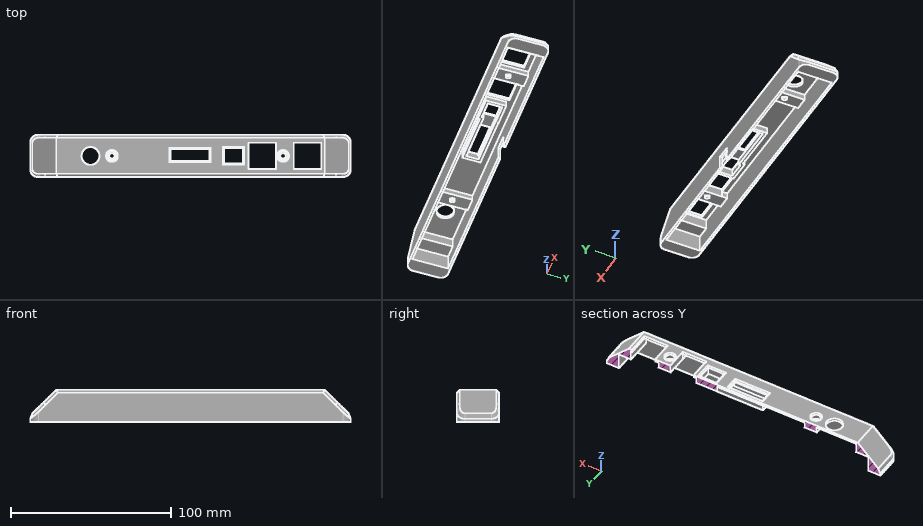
import cadquery as cq

LENGTH = 200.0
WIDTH = 26.5
HEIGHT = 20.35
END_HEIGHT = 4.15
SLOPE_RUN = 16.4
CORNER_RADIUS = 5.0
EDGE_CHAMFER = 2.0

WALL = 1.5
ROOF = 2.0
UPPER_CAVITY_LENGTH = 164.4
LOWER_CAVITY_LENGTH = 182.0
LOWER_CAVITY_HEIGHT = 11.5
CAVITY_WIDTH = WIDTH - 2 * WALL
ROOF_UNDERSIDE = HEIGHT - ROOF

NOTCH_X = 9.15
NOTCH_WIDTH = 9.5
NOTCH_HEIGHT = 9.0

THICKNESS = 6.0
THICK_UNDERSIDE = HEIGHT - THICKNESS
BOSS_WIDTH = 9.0
COLLAR_WALL = 2.0
CHANNEL_CLEARANCE = 0.5

OPENING_CHAMFER = 0.9
ROUND_X = -62.35
ROUND_DIAMETER = 11.0
SCREW_XS = (-49.0, 57.7)
SCREW_DIAMETER = 3.33
SCREW_HEAD_DIAMETER = 5.7
SCREW_HEAD_DEPTH = 4.0
SLOT_CENTER = (-0.3, 0.55)
SLOT_SIZE = (23.8, 7.0)
SMALL_SOCKET_CENTER = (26.85, 0.0)
SMALL_SOCKET_SIZE = (11.5, 9.4)
LARGE_SOCKET_XS = (44.8, 72.9)
LARGE_SOCKET_SIZE = (17.0, 16.2)


def block(size, center, bottom, top):
    """Upright box with the given plan size and centre, between two heights."""
    return (
        cq.Workplane("XY", origin=(center[0], center[1], bottom))
        .rect(*size)
        .extrude(top - bottom)
    )


def make_body():
    half = LENGTH / 2
    ridge = half - SLOPE_RUN
    profile = (
        cq.Workplane("XZ")
        .moveTo(-half, 0)
        .lineTo(half, 0)
        .lineTo(half, END_HEIGHT)
        .lineTo(ridge, HEIGHT)
        .lineTo(-ridge, HEIGHT)
        .lineTo(-half, END_HEIGHT)
        .close()
        .extrude(WIDTH / 2, both=True)
    )
    plan = block((LENGTH, WIDTH), (0, 0), 0, HEIGHT).edges("|Z").fillet(CORNER_RADIUS)
    body = profile.intersect(plan)
    outline = body.edges("not(|Z)").edges("not(<Z)")
    ridges = body.edges("|Y").edges(">Z").vals()
    chain = [edge for edge in outline.vals() if not any(edge.isSame(r) for r in ridges)]
    return body.newObject(chain).chamfer(EDGE_CHAMFER)


def make_cavity():
    upper = block((UPPER_CAVITY_LENGTH, CAVITY_WIDTH), (0, 0), 0, ROOF_UNDERSIDE)
    lower = block((LOWER_CAVITY_LENGTH, CAVITY_WIDTH), (0, 0), 0, LOWER_CAVITY_HEIGHT)
    return upper.union(lower)


def make_notch():
    return block((NOTCH_WIDTH, 2 * WALL), (NOTCH_X, WIDTH / 2), 0, NOTCH_HEIGHT)


def add_roof_supports(part):
    for x in SCREW_XS:
        part = part.union(block((BOSS_WIDTH, CAVITY_WIDTH), (x, 0), THICK_UNDERSIDE, ROOF_UNDERSIDE))
    channel_start = SLOT_CENTER[0] - SLOT_SIZE[0] / 2
    channel_end = SMALL_SOCKET_CENTER[0] + SMALL_SOCKET_SIZE[0] / 2
    channel_size = (channel_end - channel_start, SLOT_SIZE[1] + 2 * CHANNEL_CLEARANCE)
    channel_center = ((channel_start + channel_end) / 2, SLOT_CENTER[1])
    for size, center in ((channel_size, channel_center), (SMALL_SOCKET_SIZE, SMALL_SOCKET_CENTER)):
        walled_size = [side + 2 * COLLAR_WALL for side in size]
        part = part.union(block(walled_size, center, THICK_UNDERSIDE, ROOF_UNDERSIDE))
    return part.cut(block(channel_size, channel_center, THICK_UNDERSIDE, ROOF_UNDERSIDE))


def chamfered_opening(size, center):
    """Cutter for a straight opening whose upper rim is bevelled."""
    straight = block(size, center, THICK_UNDERSIDE, HEIGHT)
    bevel = (
        cq.Workplane("XY", origin=(center[0], center[1], HEIGHT - OPENING_CHAMFER))
        .rect(*size)
        .workplane(offset=OPENING_CHAMFER)
        .rect(*[side + 2 * OPENING_CHAMFER for side in size])
        .loft(ruled=True)
    )
    return straight.union(bevel)


def make_screw_hole(x):
    """Revolved cutter: through hole, flat head seat and bevelled mouth."""
    mouth_radius = SCREW_HEAD_DIAMETER / 2 + OPENING_CHAMFER
    return (
        cq.Workplane("XZ")
        .moveTo(0, 0)
        .lineTo(SCREW_DIAMETER / 2, 0)
        .lineTo(SCREW_DIAMETER / 2, HEIGHT - SCREW_HEAD_DEPTH)
        .lineTo(SCREW_HEAD_DIAMETER / 2, HEIGHT - SCREW_HEAD_DEPTH)
        .lineTo(SCREW_HEAD_DIAMETER / 2, HEIGHT - OPENING_CHAMFER)
        .lineTo(mouth_radius, HEIGHT)
        .lineTo(0, HEIGHT)
        .close()
        .revolve(360, (0, 0, 0), (0, 1, 0))
        .translate((x, 0, 0))
    )


def cut_openings(part):
    round_hole = cq.Workplane("XY").center(ROUND_X, 0).circle(ROUND_DIAMETER / 2).extrude(HEIGHT)
    part = part.cut(round_hole)
    for x in SCREW_XS:
        part = part.cut(make_screw_hole(x))
    part = part.cut(chamfered_opening(SLOT_SIZE, SLOT_CENTER))
    part = part.cut(chamfered_opening(SMALL_SOCKET_SIZE, SMALL_SOCKET_CENTER))
    for x in LARGE_SOCKET_XS:
        part = part.cut(block(LARGE_SOCKET_SIZE, (x, 0), THICK_UNDERSIDE, HEIGHT))
    return part


shell = make_body().cut(make_cavity()).cut(make_notch())
result = cut_openings(add_roof_supports(shell))